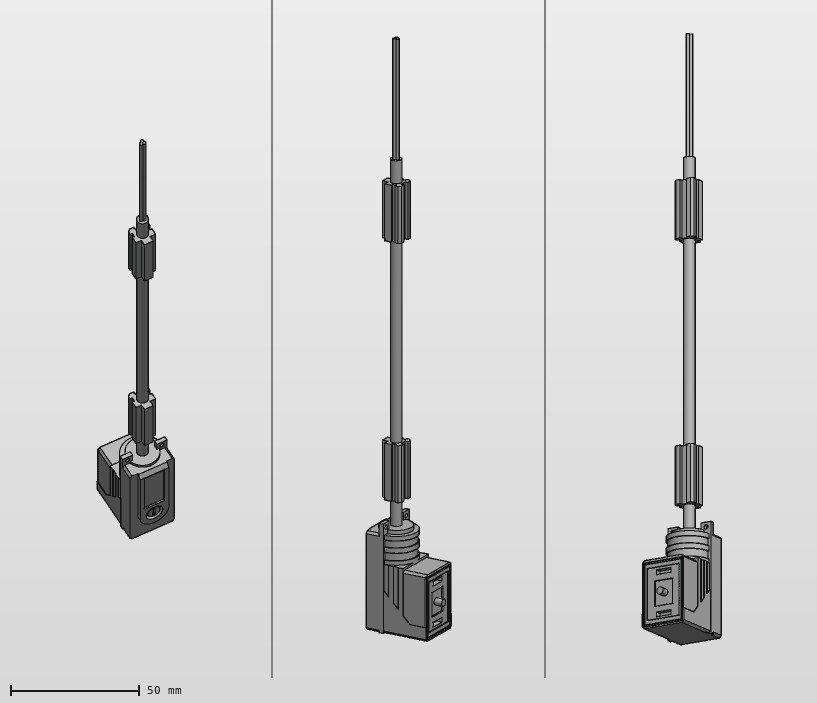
import cadquery as cq

TOTAL_HEIGHT = 243
PLUG_TURN = -45

BACK_X = 7.8
FRONT_X = -19.2
BACK_WIDTH = 19.7
FRONT_WIDTH = 19.2
BACK_TOP = 40.8
SHOULDER_TOP = 28.5
NOSE_TOP = 27.5
EDGE_CHAMFER = 1.0

NOSE_EDGE_X = -8.7
STRIP_COUNT = 4
GROOVE_WIDTH = -NOSE_EDGE_X / STRIP_COUNT
SIDE_RECESS = 0.2
SLOPE_Z_AT_AXIS = 17.7
NOSE_RECESS_BOTTOM = 5.8

NECK_RADIUS = 9.0
NECK_TOP = 40.3
NECK_GROOVE_DEPTH = 0.5
NECK_GROOVES = ((30.1, 33.3), (35.5, 38.5))
ENTRY_RADIUS = 6.8
ENTRY_TOP = 42.0
LUG_TOP = 45.2
LUG_THICKNESS = 1.82
LUG_INNER_Y = 5.3
LUG_HOLE_DIAMETER = 1.7
LUG_HOLE_Z = 43.3

PLATE_THICKNESS = 2.0
PLATE_WIDTH = 12.6
PLATE_BEVEL_HEIGHT = 2.0
PLATE_BEVEL_DEPTH = 1.5
PANEL_WIDTH = 8.7
PANEL_BOTTOM = 18.7
PANEL_TOP = 38.6
PANEL_DEPTH = 0.7
SCREW_Z = 13.5
HEAD_POCKET_RADIUS = 3.6
HEAD_POCKET_DEPTH = 2.0
HEAD_RADIUS = 2.7
HEAD_HEIGHT = 1.5
DRIVE_LENGTH = 4.0
DRIVE_WIDTH = 0.85
DRIVE_DEPTH = 1.0

GASKET_WIDTH = 18.0
GASKET_HEIGHT = 25.8
GASKET_GROOVE_WIDTH = 0.7
GASKET_GROOVE_DEPTH = 0.7
FACE_POCKET_WIDTH = 14.5
FACE_POCKET_HEIGHT = 21.0
FACE_POCKET_DEPTH = 0.5
CENTRE_POCKET_WIDTH = 8.3
CENTRE_POCKET_HEIGHT = 10.2
CENTRE_POCKET_DEPTH = 0.7
CONTACT_OFFSET = 8.5
CONTACT_WIDTH = 6.5
CONTACT_HEIGHT = 2.0
CONTACT_DEPTH = 2.5
SCREW_TIP_X = -21.5
SCREW_RADIUS = 1.5

CABLE_RADIUS = 2.3
CABLE_TOP = 193.2
CORE_COUNT = 3
CORE_RADIUS = 0.68
CORE_RING_RADIUS = 0.7
CORE_OVERLAP = 1.2
SLEEVE_LENGTH = 23.5
SLEEVE_BOTTOMS = (53.0, 160.1)
SLEEVE_MIN_X = -4.4
SLEEVE_MAX_X = 5.0
SLEEVE_HALF_WIDTH = 4.4
SLEEVE_CHAMFER = 1.0
SLEEVE_NOTCH_DEPTH = 2.5
SLEEVE_NOTCH_WIDTH = 2.5
SLEEVE_SLOT_WIDTH = 3.0
SLEEVE_SLOT_DEPTH = 1.2
SLEEVE_GROOVE_X = -1.2
SLEEVE_GROOVE_WIDTH = 1.7
SLEEVE_GROOVE_DEPTH = 1.0


def block(x_range, y_range, z_range):
    """Box given by its lower and upper X, Y and Z."""
    sizes = [high - low for low, high in (x_range, y_range, z_range)]
    corner = (x_range[0], y_range[0], z_range[0])
    return cq.Workplane("XY").box(*sizes, centered=False).translate(corner)


def centred_block(x_range, width, z_range):
    """Box that is symmetric about Y = 0."""
    return block(x_range, (-width / 2, width / 2), z_range)


def x_cylinder(radius, x_start, x_end, z):
    """Cylinder along X, centred on Y = 0."""
    disc = cq.Workplane("YZ", origin=(x_start, 0, z)).circle(radius)
    return disc.extrude(x_end - x_start)


def z_cylinder(radius, bottom, top):
    """Cylinder on the cable axis."""
    return cq.Workplane("XY", origin=(0, 0, bottom)).circle(radius).extrude(top - bottom)


def both_sides(solid):
    """The solid together with its mirror image across Y = 0."""
    return solid.union(solid.mirror("XZ"))


def side_recess(outline):
    """Shallow cut with the given XZ outline in the two sides of the front half."""
    sheet = cq.Workplane("XZ", origin=(0, -FRONT_WIDTH / 2 + SIDE_RECESS, 0))
    return both_sides(sheet.polyline(outline).close().extrude(2 * SIDE_RECESS))


def slope_z(x):
    """Height of the common lower end line of the side recesses."""
    return SLOPE_Z_AT_AXIS + x


def front_half():
    nose = centred_block((FRONT_X, 0), FRONT_WIDTH, (0, NOSE_TOP))
    shoulder = centred_block((NOSE_EDGE_X, 0), FRONT_WIDTH, (0, SHOULDER_TOP))
    body = nose.union(shoulder)
    nose_outline = [
        (NOSE_EDGE_X, NOSE_TOP),
        (NOSE_EDGE_X, slope_z(NOSE_EDGE_X)),
        (NOSE_RECESS_BOTTOM - SLOPE_Z_AT_AXIS, NOSE_RECESS_BOTTOM),
        (FRONT_X, NOSE_RECESS_BOTTOM),
        (FRONT_X, NOSE_TOP),
    ]
    body = body.cut(side_recess(nose_outline))
    for strip in range(1, STRIP_COUNT, 2):
        left = NOSE_EDGE_X + strip * GROOVE_WIDTH
        right = left + GROOVE_WIDTH
        groove_outline = [
            (left, SHOULDER_TOP),
            (left, slope_z(left)),
            (right, slope_z(right)),
            (right, SHOULDER_TOP),
        ]
        body = body.cut(side_recess(groove_outline))
    nose_top_sides = cq.selectors.BoxSelector(
        (FRONT_X, -BACK_WIDTH, NOSE_TOP - EDGE_CHAMFER),
        (NOSE_EDGE_X, BACK_WIDTH, NOSE_TOP + EDGE_CHAMFER / 2),
    )
    body = body.edges(nose_top_sides).edges("|X").chamfer(EDGE_CHAMFER)
    return body.faces("<Z").edges("|X").chamfer(EDGE_CHAMFER)


def back_half():
    body = centred_block((0, BACK_X), BACK_WIDTH, (0, BACK_TOP))
    return body.edges("|X").chamfer(EDGE_CHAMFER)


def cable_entry():
    neck = z_cylinder(NECK_RADIUS, 0, NECK_TOP)
    for bottom, top in NECK_GROOVES:
        ring = z_cylinder(NECK_RADIUS, bottom, top)
        neck = neck.cut(ring.cut(z_cylinder(NECK_RADIUS - NECK_GROOVE_DEPTH, bottom, top)))
    neck = neck.intersect(centred_block((FRONT_X, BACK_X), BACK_WIDTH, (0, NECK_TOP)))
    lug = block((0, LUG_THICKNESS), (-BACK_WIDTH / 2, -LUG_INNER_Y), (0, LUG_TOP))
    lug_hole_y = -(BACK_WIDTH / 2 + LUG_INNER_Y) / 2
    hole = x_cylinder(LUG_HOLE_DIAMETER / 2, 0, LUG_THICKNESS, LUG_HOLE_Z)
    lug = lug.cut(hole.translate((0, lug_hole_y, 0)))
    entry = z_cylinder(ENTRY_RADIUS, 0, ENTRY_TOP)
    return neck.union(entry).union(both_sides(lug))


def back_plate():
    """Round-ended plate on the back face, with its label panel sunk in."""
    outer_x = BACK_X + PLATE_THICKNESS
    plate = centred_block((0, outer_x), PLATE_WIDTH, (SCREW_Z, BACK_TOP))
    plate = plate.faces(">Z").edges(">X").chamfer(PLATE_BEVEL_HEIGHT, PLATE_BEVEL_DEPTH)
    plate = plate.union(x_cylinder(PLATE_WIDTH / 2, 0, outer_x, SCREW_Z))
    panel = centred_block((outer_x - PANEL_DEPTH, outer_x), PANEL_WIDTH, (PANEL_BOTTOM, PANEL_TOP))
    return plate.cut(panel)


def add_screw_head(body):
    outer_x = BACK_X + PLATE_THICKNESS
    seat_x = outer_x - HEAD_POCKET_DEPTH
    head_x = seat_x + HEAD_HEIGHT
    head = x_cylinder(HEAD_RADIUS, seat_x, head_x, SCREW_Z)
    drive_z = (SCREW_Z - DRIVE_LENGTH / 2, SCREW_Z + DRIVE_LENGTH / 2)
    drive = centred_block((head_x - DRIVE_DEPTH, head_x), DRIVE_WIDTH, drive_z)
    pocket = x_cylinder(HEAD_POCKET_RADIUS, seat_x, outer_x, SCREW_Z)
    return body.cut(pocket).union(head.cut(drive))


def face_pocket(x_start, depth, width, height, z):
    """Rectangular pocket sunk into the contact face."""
    return centred_block((x_start, x_start + depth), width, (z - height / 2, z + height / 2))


def cut_contact_face(body):
    floor_x = FRONT_X + FACE_POCKET_DEPTH
    gasket = face_pocket(FRONT_X, GASKET_GROOVE_DEPTH, GASKET_WIDTH, GASKET_HEIGHT, SCREW_Z)
    land_width = GASKET_WIDTH - 2 * GASKET_GROOVE_WIDTH
    land_height = GASKET_HEIGHT - 2 * GASKET_GROOVE_WIDTH
    land = face_pocket(FRONT_X, GASKET_GROOVE_DEPTH, land_width, land_height, SCREW_Z)
    body = body.cut(gasket.cut(land))
    body = body.cut(
        face_pocket(FRONT_X, FACE_POCKET_DEPTH, FACE_POCKET_WIDTH, FACE_POCKET_HEIGHT, SCREW_Z)
    )
    body = body.cut(
        face_pocket(floor_x, CENTRE_POCKET_DEPTH, CENTRE_POCKET_WIDTH, CENTRE_POCKET_HEIGHT, SCREW_Z)
    )
    for offset in (-CONTACT_OFFSET, CONTACT_OFFSET):
        body = body.cut(
            face_pocket(floor_x, CONTACT_DEPTH, CONTACT_WIDTH, CONTACT_HEIGHT, SCREW_Z + offset)
        )
    screw_tip = x_cylinder(SCREW_RADIUS, SCREW_TIP_X, floor_x + CONTACT_DEPTH, SCREW_Z)
    return body.union(screw_tip)


def cable():
    cores = (
        cq.Workplane("XY", origin=(0, 0, CABLE_TOP - CORE_OVERLAP))
        .polarArray(CORE_RING_RADIUS, -PLUG_TURN, 360, CORE_COUNT)
        .circle(CORE_RADIUS)
        .extrude(TOTAL_HEIGHT - CABLE_TOP + CORE_OVERLAP)
    )
    return z_cylinder(CABLE_RADIUS, NECK_TOP, CABLE_TOP).union(cores)


def marker_sleeve(bottom):
    """Sleeve on the cable: grooved sides, notched back corners and a slot along the front."""
    half = SLEEVE_HALF_WIDTH
    span = (bottom, bottom + SLEEVE_LENGTH)
    sleeve = centred_block((SLEEVE_MIN_X, SLEEVE_MAX_X), 2 * half, span)
    sleeve = sleeve.faces("<X").edges("|Z").chamfer(SLEEVE_CHAMFER)
    notch_x = (SLEEVE_MAX_X - SLEEVE_NOTCH_DEPTH, SLEEVE_MAX_X)
    notch = block(notch_x, (-half, -half + SLEEVE_NOTCH_WIDTH), span)
    slot_x = (SLEEVE_MIN_X, SLEEVE_MIN_X + SLEEVE_SLOT_DEPTH)
    slot = centred_block(slot_x, SLEEVE_SLOT_WIDTH, span)
    groove_x = (
        SLEEVE_GROOVE_X - SLEEVE_GROOVE_WIDTH / 2,
        SLEEVE_GROOVE_X + SLEEVE_GROOVE_WIDTH / 2,
    )
    groove = block(groove_x, (-half, -half + SLEEVE_GROOVE_DEPTH), span)
    return sleeve.cut(both_sides(groove)).cut(both_sides(notch)).cut(slot)


plug = front_half().union(back_half()).union(cable_entry()).union(back_plate())
plug = cut_contact_face(add_screw_head(plug))
assembly = plug.union(cable())
for sleeve_bottom in SLEEVE_BOTTOMS:
    assembly = assembly.union(marker_sleeve(sleeve_bottom))

result = assembly.rotate((0, 0, 0), (0, 0, 1), PLUG_TURN).solids()